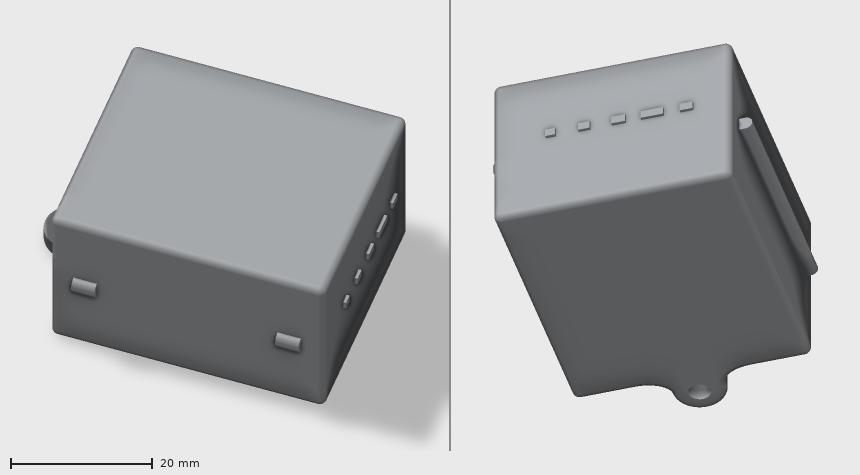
import cadquery as cq

BOX_LENGTH = 41.05
BOX_WIDTH = 35.0
BOX_HEIGHT = 25.0
EDGE_RADIUS = 1.0
LEFT_WALL = -BOX_LENGTH / 2
RIGHT_WALL = BOX_LENGTH / 2
FRONT_WALL = -BOX_WIDTH / 2
BACK_WALL = BOX_WIDTH / 2
MID_HEIGHT = BOX_HEIGHT / 2

LUG_RADIUS = 4.0
LUG_HOLE_DIAMETER = 3.2
LUG_HOLE_OFFSET = 3.0
LUG_THICKNESS = 3.0
FLARE_HALF_WIDTH = 8.5

TONGUE_MARGIN = 4.0
TONGUE_LENGTH = BOX_LENGTH - 2 * TONGUE_MARGIN
TONGUE_REACH = 2.0
TONGUE_THICKNESS = 2.0

NUB_MARGIN = 3.5
NUB_LENGTH = 3.5
NUB_HEIGHT = 2.5
NUB_REACH = 1.0
NUB_CENTER_X = RIGHT_WALL - NUB_MARGIN - NUB_LENGTH / 2

MARKS = [(11.05, 1.9), (6.0, 3.35), (1.05, 2.1), (-4.0, 1.75), (-8.9, 1.45)]
MARK_REACH = 0.5
MARK_HEIGHT = 1.2
MARK_RISE = 1.3
MARK_CENTER_Z = MID_HEIGHT + MARK_RISE

OVERLAP = 1.45


def make_box():
    """Box with rounded upright and top edges; the bottom edge is still sharp."""
    box = cq.Workplane("XY").box(BOX_LENGTH, BOX_WIDTH, BOX_HEIGHT, centered=(True, True, False))
    return box.edges("|Z or >Z").fillet(EDGE_RADIUS)


def make_lug():
    """Round-ended lug that flares into the wall along two quarter ellipses."""
    hole_x = LEFT_WALL - LUG_HOLE_OFFSET
    flare_depth = FLARE_HALF_WIDTH - LUG_RADIUS
    return (
        cq.Workplane("XY")
        .moveTo(LEFT_WALL + OVERLAP, -FLARE_HALF_WIDTH)
        .lineTo(LEFT_WALL, -FLARE_HALF_WIDTH)
        .ellipseArc(LUG_HOLE_OFFSET, flare_depth, 0, 90, startAtCurrent=True)
        .threePointArc((hole_x - LUG_RADIUS, 0), (hole_x, LUG_RADIUS))
        .ellipseArc(LUG_HOLE_OFFSET, flare_depth, 270, 360, startAtCurrent=True)
        .lineTo(LEFT_WALL + OVERLAP, FLARE_HALF_WIDTH)
        .close()
        .extrude(LUG_THICKNESS)
    )


def make_lug_hole():
    return (
        cq.Workplane("XY")
        .center(LEFT_WALL - LUG_HOLE_OFFSET, 0)
        .circle(LUG_HOLE_DIAMETER / 2)
        .extrude(LUG_THICKNESS)
    )


def make_tongue():
    tip_radius = TONGUE_THICKNESS / 2
    tip_center_y = BACK_WALL + TONGUE_REACH - tip_radius
    root_y = BACK_WALL - OVERLAP
    return (
        cq.Workplane("YZ")
        .moveTo(root_y, MID_HEIGHT - tip_radius)
        .lineTo(tip_center_y, MID_HEIGHT - tip_radius)
        .threePointArc((BACK_WALL + TONGUE_REACH, MID_HEIGHT), (tip_center_y, MID_HEIGHT + tip_radius))
        .lineTo(root_y, MID_HEIGHT + tip_radius)
        .close()
        .extrude(TONGUE_LENGTH / 2, both=True)
    )


def make_nub(center_x):
    """Bar along X whose two outer edges are rounded over its full reach."""
    depth = NUB_REACH + OVERLAP
    nub = cq.Workplane("XY").box(NUB_LENGTH, depth, NUB_HEIGHT)
    nub = nub.edges("|X and <Y").fillet(NUB_REACH)
    return nub.translate((center_x, FRONT_WALL - NUB_REACH + depth / 2, MID_HEIGHT))


def make_mark(center_y, length):
    depth = MARK_REACH + OVERLAP
    mark = cq.Workplane("XY").box(depth, length, MARK_HEIGHT)
    return mark.translate((RIGHT_WALL + MARK_REACH - depth / 2, center_y, MARK_CENTER_Z))


body = make_box().union(make_lug())
body = body.faces("<Z").edges().fillet(EDGE_RADIUS)
body = body.cut(make_lug_hole())

body = body.union(make_tongue())
for side in (-1, 1):
    body = body.union(make_nub(side * NUB_CENTER_X))
for mark_y, mark_length in MARKS:
    body = body.union(make_mark(mark_y, mark_length))

result = body